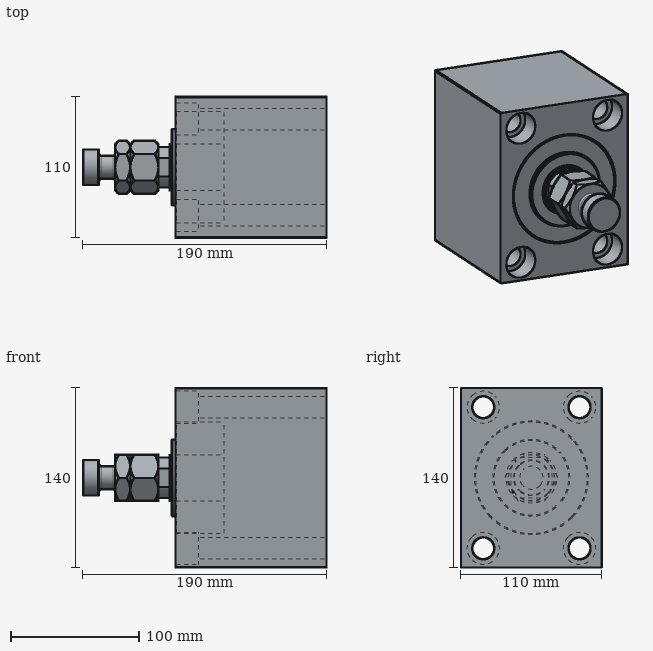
import cadquery as cq
import math


overall_length = 190.0

housing_length = 118.0
housing_width = 110.0
housing_height = 140.0
housing_edge_chamfer = 0.5
bore_diameter = 87.0
bore_depth = 38.0
bore_chamfer = 1.0

hole_spacing_y = 75.0
hole_spacing_z = 110.0
hole_diameter = 17.0
counterbore_diameter = 25.0
counterbore_depth = 18.0

boss_diameter = 60.0
boss_length = 3.0
boss_chamfer = 1.0
wiper_recess_diameter = 39.7
wiper_recess_depth = 1.0

rod_diameter = 36.0
rod_collar_length = 1.7
wrench_neck_diameter = 35.0
wrench_neck_length = 8.4
wrench_neck_flats = 32.0

hex_flats = 36.0
hex_face_diameter = 35.5
long_hex_length = 22.0
short_hex_length = 12.0
pin_neck_diameter = 18.0
pin_neck_root_fillet = 1.3
pin_head_fillet = 2.0
pin_head_diameter = 28.0
pin_head_length = 12.4
pin_head_chamfer = 0.5

boss_face_x = -boss_length
collar_face_x = boss_face_x - rod_collar_length
rod_end_x = collar_face_x - wrench_neck_length
hex_joint_x = rod_end_x - long_hex_length
hex_end_x = hex_joint_x - short_hex_length
pin_tip_x = housing_length - overall_length
pin_head_back_x = pin_tip_x + pin_head_length


def cylinder_x(diameter, start_x, end_x):
    """Cylinder on the X axis between two X positions."""
    return cq.Workplane("YZ", origin=(start_x, 0, 0)).circle(diameter / 2).extrude(end_x - start_x)


def make_housing():
    block = (
        cq.Workplane("YZ")
        .rect(housing_width, housing_height)
        .extrude(housing_length)
        .edges("|X")
        .chamfer(housing_edge_chamfer)
    )
    bore = cylinder_x(bore_diameter, 0, bore_depth)
    bore_mouth = cq.Workplane(
        cq.Solid.makeCone(
            bore_diameter / 2 + bore_chamfer,
            bore_diameter / 2,
            bore_chamfer,
            cq.Vector(0, 0, 0),
            cq.Vector(1, 0, 0),
        )
    )
    block = block.cut(bore).cut(bore_mouth)
    for side_y in (-1, 1):
        for side_z in (-1, 1):
            center = (0, side_y * hole_spacing_y / 2, side_z * hole_spacing_z / 2)
            hole = cylinder_x(hole_diameter, 0, housing_length).translate(center)
            counterbore = cylinder_x(counterbore_diameter, 0, counterbore_depth).translate(center)
            block = block.cut(hole).cut(counterbore)
    return block


def make_gland():
    """Bush that fills the housing bore and guides the rod, with a raised boss in front."""
    boss = cylinder_x(boss_diameter, boss_face_x, 0).faces("<X").edges().chamfer(boss_chamfer)
    plug = cylinder_x(bore_diameter, 0, bore_depth)
    rod_hole = cylinder_x(rod_diameter, boss_face_x, bore_depth)
    wiper_recess = cylinder_x(wiper_recess_diameter, boss_face_x, boss_face_x + wiper_recess_depth)
    return plug.union(boss).cut(rod_hole).cut(wiper_recess)


def make_rod():
    """Piston rod with four wrench flats on its narrower end."""
    shaft = cylinder_x(rod_diameter, collar_face_x, bore_depth)
    square = (
        cq.Workplane("YZ", origin=(rod_end_x, 0, 0))
        .rect(wrench_neck_flats, wrench_neck_flats)
        .extrude(wrench_neck_length)
    )
    wrench_neck = cylinder_x(wrench_neck_diameter, rod_end_x, collar_face_x).intersect(square)
    return shaft.union(wrench_neck)


def chamfered_hexagon(start_x, end_x):
    """Hexagon with flats facing +Z and -Z, its corners turned to 45 degrees at both ends."""
    corner_diameter = hex_flats / math.cos(math.pi / 6)
    prism = cq.Workplane("YZ", origin=(start_x, 0, 0)).polygon(6, corner_diameter).extrude(end_x - start_x)
    corner_chamfer = (corner_diameter - hex_face_diameter) / 2
    envelope = cylinder_x(corner_diameter, start_x, end_x).edges().chamfer(corner_chamfer)
    return prism.intersect(envelope)


def make_pin():
    """Headed pin, revolved, with fillets at both ends of its neck."""
    neck_radius = pin_neck_diameter / 2
    head_radius = pin_head_diameter / 2
    return (
        cq.Workplane("XY")
        .moveTo(pin_tip_x, 0)
        .lineTo(pin_tip_x, head_radius - pin_head_chamfer)
        .lineTo(pin_tip_x + pin_head_chamfer, head_radius)
        .lineTo(pin_head_back_x - pin_head_chamfer, head_radius)
        .lineTo(pin_head_back_x, head_radius - pin_head_chamfer)
        .lineTo(pin_head_back_x, neck_radius + pin_head_fillet)
        .radiusArc((pin_head_back_x + pin_head_fillet, neck_radius), -pin_head_fillet)
        .lineTo(hex_end_x - pin_neck_root_fillet, neck_radius)
        .radiusArc((hex_end_x, neck_radius + pin_neck_root_fillet), -pin_neck_root_fillet)
        .lineTo(hex_end_x, 0)
        .close()
        .revolve(360, (0, 0, 0), (1, 0, 0))
    )


def make_coupling():
    """Coupling with a long and a short hexagon behind its headed pin."""
    long_hex = chamfered_hexagon(hex_joint_x, rod_end_x)
    short_hex = chamfered_hexagon(hex_end_x, hex_joint_x)
    return long_hex.union(short_hex).union(make_pin())


housing = make_housing()
gland = make_gland()
rod = make_rod()
coupling = make_coupling()

result = cq.Compound.makeCompound([housing.val(), gland.val(), rod.val(), coupling.val()])